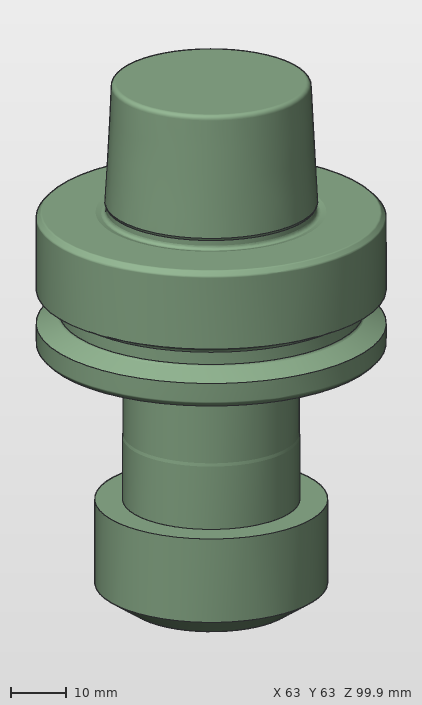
import cadquery as cq

head_radius = 21.0
head_tip_radius = 15.0
head_bevel_height = 4.0
head_top = 20.0

shank_radius = 16.0
upper_shank_radius = 15.9
step_bottom = 32.0
step_height = 0.6
shank_fillet = 0.9

flange_radius = 31.52
flange_bottom = 49.0
flange_top = 74.9
flange_chamfer = 0.9
flange_edge_rounding = 0.5
groove_radius = 27.4
groove_lower_edge = 53.6
groove_upper_edge = 60.2
groove_flank_height = 1.8
groove_fillet = 0.5

neck_radius = 18.93
neck_top = 76.4
relief_radius = 20.8
relief_depth = 0.4
neck_fillet = 0.7
taper_bottom = 76.9
taper_bottom_radius = 19.2
taper_top_radius = 18.0
spigot_top = 99.9
spigot_rounding = 0.9

head = [
    (0, 0),
    (head_tip_radius, 0),
    (head_radius, head_bevel_height),
    (head_radius, head_top),
]
shank = [
    (shank_radius, head_top),
    (shank_radius, step_bottom),
    (upper_shank_radius, step_bottom + step_height),
    (upper_shank_radius, flange_bottom),
]
flange = [
    (flange_radius - flange_chamfer, flange_bottom),
    (flange_radius, flange_bottom + flange_chamfer),
    (flange_radius, groove_lower_edge),
    (groove_radius, groove_lower_edge + groove_flank_height),
    (groove_radius, groove_upper_edge - groove_flank_height),
    (flange_radius, groove_upper_edge),
    (flange_radius, flange_top - flange_chamfer),
    (flange_radius - flange_chamfer, flange_top),
]
spigot = [
    (relief_radius, flange_top),
    (neck_radius, flange_top - relief_depth),
    (neck_radius, neck_top),
    (taper_bottom_radius, taper_bottom),
    (taper_top_radius, spigot_top),
    (0, spigot_top),
]

body = (
    cq.Workplane("XZ")
    .polyline(head + shank + flange + spigot)
    .close()
    .revolve(360, (0, 0, 0), (0, 1, 0))
)


def round_circles(part, corners, radius):
    """Fillet the circular edges that pass through the given (radius, height) outline corners."""
    margin = 0.01
    edges = []
    for corner_radius, height in corners:
        reach = corner_radius + margin
        low = (-reach, -reach, height - margin)
        high = (reach, reach, height + margin)
        circles = part.edges(cq.selectors.BoxSelector(low, high, boundingbox=True))
        edges += circles.edges(cq.selectors.RadiusNthSelector(-1)).vals()
    return part.newObject(edges).fillet(radius)


flange_lower_rim, flange_lower_wall = flange[:2]
groove_floor = flange[3:5]
flange_upper_wall, flange_upper_rim = flange[-2:]
flange_rims = [flange_lower_rim, flange_lower_wall, flange_upper_wall, flange_upper_rim]

body = round_circles(body, groove_floor, groove_fillet)
body = round_circles(body, flange_rims, flange_edge_rounding)
body = round_circles(body, [(upper_shank_radius, flange_bottom)], shank_fillet)
body = round_circles(body, [(neck_radius, flange_top - relief_depth)], neck_fillet)
result = round_circles(body, [(taper_top_radius, spigot_top)], spigot_rounding)